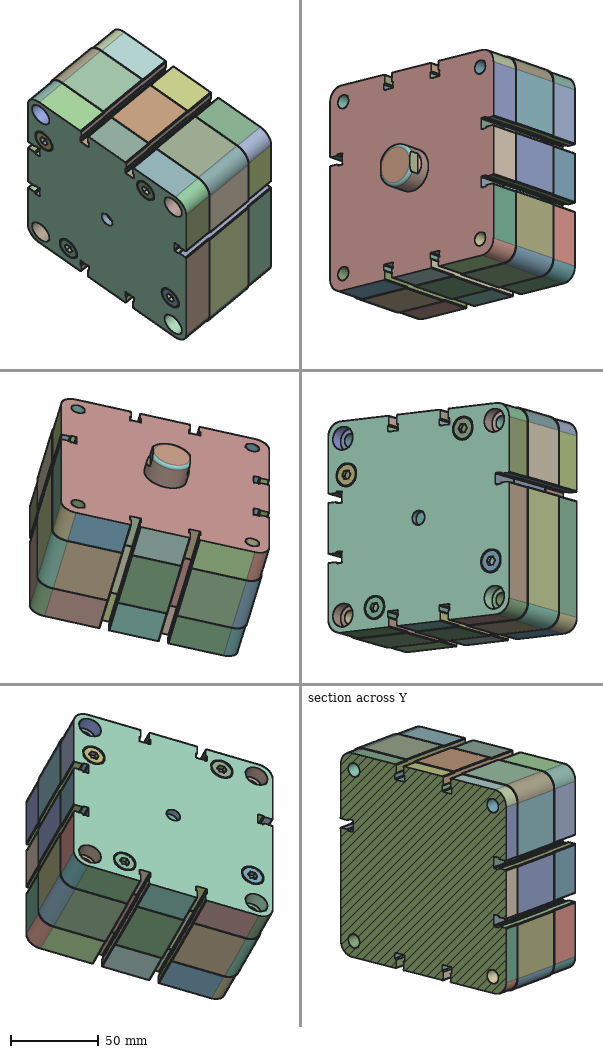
import cadquery as cq
import math

BLOCK_WIDTH = 124.0
CAP_INSET = 0.5
CAP_LENGTH = 19.5
BLOCK_LENGTH = 33.0
CORNER_CENTER = 52.8
REAR_Y = 2 * CAP_LENGTH + BLOCK_LENGTH

SLOT_OFFSET = 17.5
SLOT_NECK_WIDTH = 5.2
SLOT_WIDTH = 6.8
SLOT_DEPTH = 9.3
SLOT_NECK_DEPTH = 5.2
SLOT_CHAMFER = 0.5

MOUNT_OFFSET = 51.5
MOUNT_HOLE_DIAMETER = 8.0
MOUNT_BORE_DIAMETER = 13.5
MOUNT_BORE_DEPTH = 8.2

SCREW_OFFSET_NEAR = 30.0
SCREW_OFFSET_FAR = 49.1
SCREW_BORE_DIAMETER = 13.5
SCREW_HEAD_DIAMETER = 12.5
SCREW_GAP_DEPTH = 1.0
SOCKET_ACROSS_FLATS = 5.0
SOCKET_DEPTH = 2.7

CENTER_HOLE_DIAMETER = 8.4
CENTER_HOLE_DEPTH = 4.0

ROD_DIAMETER = 25.0
ROD_LENGTH = 14.6
ROD_TIP_FILLET = 2.0
ROD_ACROSS_FLATS = 22.0
ROD_FLAT_LENGTH = 7.1


def section_plane(y):
    """Plane facing +Y at the given Y; its local axes are -X and Z."""
    return cq.Workplane(cq.Plane(origin=(0, y, 0), xDir=(-1, 0, 0), normal=(0, 1, 0)))


def make_slot(half_width, start_y, length):
    """Slot cutter entering the +Z side of a block, centred on X = 0."""
    neck = SLOT_NECK_WIDTH / 2
    wide = SLOT_WIDTH / 2
    mouth = neck + SLOT_CHAMFER
    shoulder_depth = SLOT_NECK_DEPTH + wide - neck
    right_side = [
        (mouth, half_width),
        (neck, half_width - SLOT_CHAMFER),
        (neck, half_width - SLOT_NECK_DEPTH),
        (wide, half_width - shoulder_depth),
        (wide, half_width - SLOT_DEPTH + SLOT_CHAMFER),
        (wide - SLOT_CHAMFER, half_width - SLOT_DEPTH),
    ]
    left_side = [(-x, z) for x, z in reversed(right_side)]
    return section_plane(start_y).polyline(right_side + left_side).close().extrude(length)


def make_segment(width, start_y, length):
    """Rounded square segment of the body with its seven slots."""
    half_width = width / 2
    segment = (
        section_plane(start_y)
        .rect(width, width)
        .extrude(length)
        .edges("|Y")
        .fillet(half_width - CORNER_CENTER)
    )
    slot = make_slot(half_width, start_y, length)
    y_axis = ((0, 0, 0), (0, 1, 0))
    for offset in (-SLOT_OFFSET, SLOT_OFFSET):
        top_slot = slot.translate((offset, 0, 0))
        for angle in (0, 180, -90):
            segment = segment.cut(top_slot.rotate(*y_axis, angle))
    return segment.cut(slot.translate((-SLOT_OFFSET, 0, 0)).rotate(*y_axis, 90))


def make_body():
    cap_width = BLOCK_WIDTH - 2 * CAP_INSET
    front_cap = make_segment(cap_width, 0, CAP_LENGTH)
    block = make_segment(BLOCK_WIDTH, CAP_LENGTH, BLOCK_LENGTH)
    rear_cap = make_segment(cap_width, CAP_LENGTH + BLOCK_LENGTH, CAP_LENGTH)
    return front_cap.union(block).union(rear_cap)


def make_mount_cutters():
    centers = [(x, z) for x in (-MOUNT_OFFSET, MOUNT_OFFSET) for z in (-MOUNT_OFFSET, MOUNT_OFFSET)]
    holes = section_plane(0).pushPoints(centers).circle(MOUNT_HOLE_DIAMETER / 2).extrude(REAR_Y)
    bores = section_plane(0).pushPoints(centers).circle(MOUNT_BORE_DIAMETER / 2).extrude(MOUNT_BORE_DEPTH)
    return holes.union(bores)


def make_screw_cutters():
    """Ring gaps around the screw heads and their hexagon sockets."""
    near, far = SCREW_OFFSET_NEAR, SCREW_OFFSET_FAR
    centers = [(-near, far), (-far, -near), (near, -far), (far, near)]
    gaps = (
        section_plane(0)
        .pushPoints(centers)
        .circle(SCREW_BORE_DIAMETER / 2)
        .circle(SCREW_HEAD_DIAMETER / 2)
        .extrude(SCREW_GAP_DEPTH)
    )
    socket_across_corners = SOCKET_ACROSS_FLATS / math.cos(math.pi / 6)
    sockets = section_plane(0).pushPoints(centers).polygon(6, socket_across_corners).extrude(SOCKET_DEPTH)
    return gaps.union(sockets)


def make_center_hole():
    return section_plane(0).circle(CENTER_HOLE_DIAMETER / 2).extrude(CENTER_HOLE_DEPTH)


def make_rod():
    """Round-tipped rod with two wrench flats that run out at 45 degrees."""
    radius = ROD_DIAMETER / 2
    rod = section_plane(REAR_Y).circle(radius).extrude(ROD_LENGTH).faces(">Y").fillet(ROD_TIP_FILLET)
    tip_y = REAR_Y + ROD_LENGTH
    flat_x = ROD_ACROSS_FLATS / 2
    flat_end_y = tip_y - ROD_FLAT_LENGTH
    runout = radius - flat_x
    flat = (
        cq.Workplane("XY")
        .polyline([
            (flat_x, tip_y),
            (flat_x, flat_end_y),
            (radius, flat_end_y - runout),
            (radius, tip_y),
        ])
        .close()
        .extrude(radius, both=True)
    )
    return rod.cut(flat).cut(flat.mirror("YZ"))


result = (
    make_body()
    .union(make_rod())
    .cut(make_mount_cutters())
    .cut(make_screw_cutters())
    .cut(make_center_hole())
)